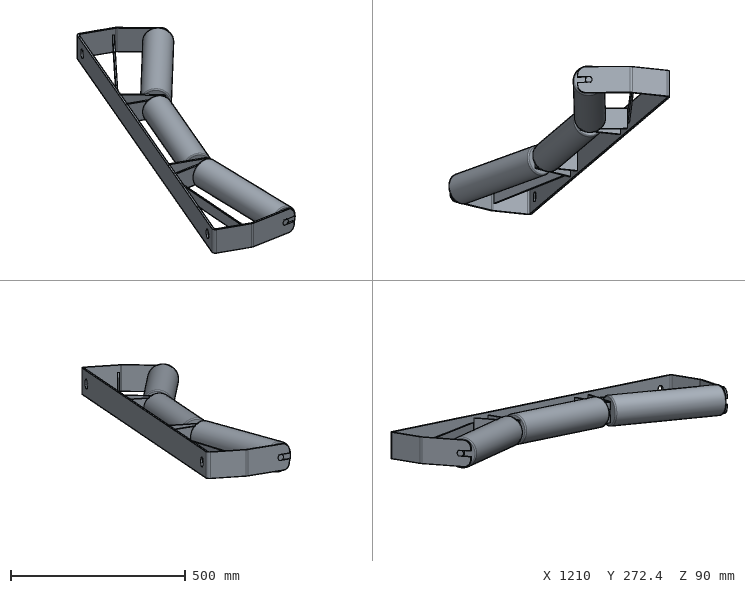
import cadquery as cq
import math


length = 1210.0
thickness = 6.0
tilt = 20.0

frame_width = 77.0
base_bend_radius = 11.0
arm_bend_radius = 18.0
arm_bend_height = 120.0
arm_length = 154.0
arm_corner_radius = 22.0
hole_inset = 51.0
hole_width = 20.0
hole_length = 28.0

roller_diameter = 90.0
roller_length = 360.0
roller_edge_radius = 4.0
middle_end_gap = 2.0
side_end_gap = 4.0
shaft_diameter = 19.0
shaft_flat_width = 17.0
middle_axis_height = 99.0
side_axis_position = 122.0

bracket_bend_radius = 12.0
bracket_width = 60.0

brace_slope = 17.2
brace_top_height = 114.0
brace_width = 35.0
brace_thickness = 5.0

half_length = length / 2
middle_support_distance = roller_length / 2 + middle_end_gap
side_support_distance = roller_length / 2 + side_end_gap
arm_direction = (math.sin(math.radians(tilt)), math.cos(math.radians(tilt)))
axis_direction = (arm_direction[1], -arm_direction[0])


def moved(point, direction, distance):
    return (point[0] + direction[0] * distance, point[1] + direction[1] * distance)


def mirrored(point):
    return (-point[0], point[1])


arm_bend = (-half_length, arm_bend_height)
arm_tip = moved(arm_bend, arm_direction, arm_length)
side_shaft_end = moved(arm_bend, arm_direction, side_axis_position)
side_centre = moved(side_shaft_end, axis_direction, thickness + side_support_distance)
middle_centre = (0, middle_axis_height)


def unit(start, end):
    span = math.dist(start, end)
    return ((end[0] - start[0]) / span, (end[1] - start[1]) / span)


def turn_angle(before, after):
    return math.acos(before[0] * after[0] + before[1] * after[1])


def inner_path(path):
    """The path shifted to its left by the strip thickness, with mitred corners."""
    directions = [unit(a, b) for a, b in zip(path, path[1:])]
    shifted = []
    for i, point in enumerate(path):
        before = directions[max(i - 1, 0)]
        after = directions[min(i, len(directions) - 1)]
        scale = thickness / (1 + before[0] * after[0] + before[1] * after[1])
        leftward = (-before[1] - after[1], before[0] + after[0])
        shifted.append(moved(point, leftward, scale))
    return shifted


def draw_rounded(sketch, path, radii):
    """Draw lines through the path, with an arc of the given radius at each inner corner."""
    for before_point, corner, after_point, radius in zip(path, path[1:], path[2:], radii):
        before = unit(before_point, corner)
        after = unit(corner, after_point)
        half_turn = turn_angle(before, after) / 2
        setback = radius * math.tan(half_turn)
        inward = unit(before, after)
        arc_depth = radius / math.cos(half_turn) - radius
        sketch = sketch.lineTo(*moved(corner, before, -setback))
        sketch = sketch.threePointArc(moved(corner, inward, arc_depth), moved(corner, after, setback))
    return sketch.lineTo(*path[-1])


def bent_strip(outer_path, outer_radii, width):
    """Strip of constant thickness whose bends all turn left along its outer path."""
    back_path = inner_path(outer_path)[::-1]
    back_radii = [radius - thickness for radius in outer_radii[::-1]]
    sketch = cq.Workplane("XY", origin=(0, 0, -width / 2)).moveTo(*outer_path[0])
    sketch = draw_rounded(sketch, outer_path, outer_radii)
    sketch = sketch.lineTo(*back_path[0])
    sketch = draw_rounded(sketch, back_path, back_radii)
    return sketch.close().extrude(width)


def place(body, centre, angle):
    """Move a body from the origin to the given centre, with its X axis turned by the angle."""
    return body.rotate((0, 0, 0), (0, 0, 1), angle).translate((*centre, 0))


def mirror(body):
    return body.mirror("YZ")


def rod(diameter, rod_length):
    """Cylinder along X, centred on the origin."""
    return cq.Workplane("YZ", origin=(-rod_length / 2, 0, 0)).circle(diameter / 2).extrude(rod_length)


def flatted_shaft(support_distance):
    """Shaft along X whose ends, as long as the support is thick, have two flats facing Z."""
    shaft_length = 2 * (support_distance + thickness)
    between_flats = cq.Workplane("XY").box(shaft_length, shaft_diameter, shaft_flat_width)
    ends = rod(shaft_diameter, shaft_length).intersect(between_flats)
    return ends.union(rod(shaft_diameter, 2 * support_distance))


def make_seat_cutter(support_distance):
    """Slot that fits the flatted shaft ends of a roller along X and is open upward."""
    slot_span = 2 * (support_distance + thickness)
    opening = cq.Workplane("XY").box(
        slot_span, roller_diameter, shaft_flat_width, centered=(True, False, True)
    )
    return flatted_shaft(support_distance).union(opening)


middle_seat = place(make_seat_cutter(middle_support_distance), middle_centre, 0)
side_seat = place(make_seat_cutter(side_support_distance), side_centre, -tilt)


def make_arm_trim():
    """Material outside the rounded corners at the tip of the left arm."""
    trim = cq.Workplane("XY")
    for edge in (-frame_width / 2, frame_width / 2):
        inward = -math.copysign(arm_corner_radius, edge)
        corner = (
            cq.Workplane("YZ")
            .moveTo(arm_length, edge)
            .lineTo(arm_length - arm_corner_radius, edge)
            .radiusArc((arm_length, edge + inward), -inward)
            .close()
            .extrude(thickness)
        )
        trim = trim.add(corner)
    return place(trim.combine(), arm_bend, -tilt)


arm_trim = make_arm_trim()


def make_frame():
    left_path = [arm_tip, arm_bend, (-half_length, 0)]
    right_path = [mirrored(point) for point in left_path[::-1]]
    radii = [arm_bend_radius, base_bend_radius]
    frame = bent_strip(left_path + right_path, radii + radii[::-1], frame_width)

    frame = frame.cut(arm_trim).cut(mirror(arm_trim))
    frame = frame.cut(side_seat).cut(mirror(side_seat))

    holes = (
        cq.Workplane("XZ")
        .pushPoints([(hole_inset - half_length, 0), (half_length - hole_inset, 0)])
        .slot2D(hole_length, hole_width, 90)
        .extrude(-thickness)
    )
    return frame.cut(holes)


def make_bracket():
    """Left bracket: an upright leg at the middle roller and a tilted leg at the side roller."""
    upright_x = -middle_support_distance
    tilted_point = moved(side_centre, axis_direction, side_support_distance)

    def tilted_at(height):
        return tilted_point[0] + (height - tilted_point[1]) * math.tan(math.radians(tilt))

    apex_height = tilted_point[1] + (upright_x - tilted_point[0]) / math.tan(math.radians(tilt))
    path = [(upright_x, thickness), (upright_x, apex_height), (tilted_at(thickness), thickness)]
    bracket = bent_strip(path, [bracket_bend_radius], bracket_width)
    above_base = cq.Workplane("XY").box(length, length, bracket_width, centered=(True, False, True))
    bracket = bracket.intersect(above_base.translate((0, thickness, 0)))
    return bracket.cut(middle_seat).cut(side_seat)


def make_brace():
    """Left brace: a flat bar from the arm down to the base."""
    slope = math.tan(math.radians(brace_slope))
    drop = brace_thickness / math.cos(math.radians(brace_slope))
    arm_face = thickness - half_length
    top_run = (brace_top_height - thickness) / slope
    bottom_run = top_run - drop / slope
    return (
        cq.Workplane("XY", origin=(0, 0, -brace_width / 2))
        .moveTo(arm_face, brace_top_height)
        .lineTo(arm_face + top_run, thickness)
        .lineTo(arm_face + bottom_run, thickness)
        .lineTo(arm_face, brace_top_height - drop)
        .close()
        .extrude(brace_width)
    )


def make_roller(support_distance):
    """Roller and its shaft, along X and centred on the origin."""
    shell = (
        rod(roller_diameter, roller_length)
        .faces("<X or >X")
        .edges()
        .fillet(roller_edge_radius)
    )
    return shell.union(flatted_shaft(support_distance))


frame = make_frame()
bracket = make_bracket()
brackets = [bracket, mirror(bracket)]
brace = make_brace()
braces = [brace, mirror(brace)]
rollers = [
    place(make_roller(support_distance), centre, angle)
    for support_distance, centre, angle in (
        (side_support_distance, side_centre, -tilt),
        (middle_support_distance, middle_centre, 0),
        (side_support_distance, mirrored(side_centre), tilt),
    )
]

result = cq.Compound.makeCompound([body.val() for body in [frame, *brackets, *braces, *rollers]])